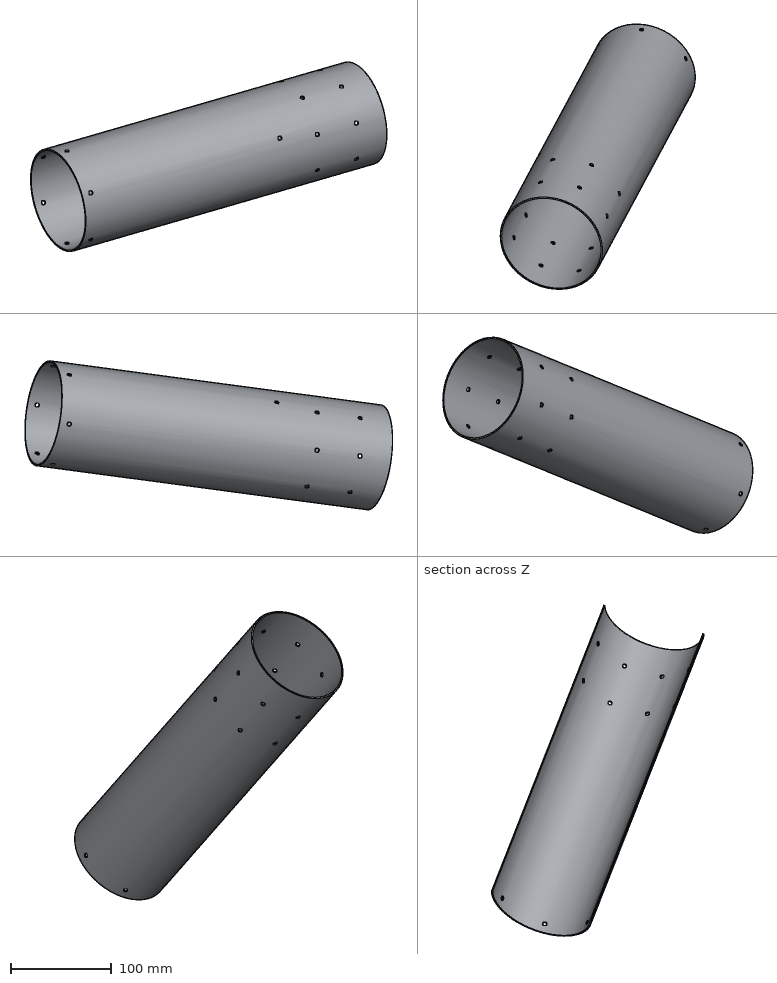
import cadquery as cq

length = 350.0
outer_diameter = 105.0
wall = 1.5
hole_diameter = 4.2

rear_ring_offsets = (33.0, 78.5)
rear_ring_count = 8
front_ring_offset = 10.0
front_ring_count = 6

single_hole_offset = 120.0
single_hole_angle = 30.0

outer_radius = outer_diameter / 2
rear_end = length / 2
front_end = -length / 2


def radial_hole(y, angle):
    """Cutter through one wall; angle is measured from +X towards +Z."""
    drill = cq.Workplane("XY").circle(hole_diameter / 2).extrude(outer_radius + wall)
    return drill.rotate((0, 0, 0), (0, 1, 0), 90 - angle).translate((0, y, 0))


def drill_ring(body, y, count, start_angle):
    """Drill equally spaced radial holes around the tube."""
    for index in range(count):
        body = body.cut(radial_hole(y, start_angle + index * 360 / count))
    return body


tube = (
    cq.Workplane("XZ")
    .circle(outer_radius)
    .circle(outer_radius - wall)
    .extrude(length / 2, both=True)
)

for offset in rear_ring_offsets:
    tube = drill_ring(tube, rear_end - offset, rear_ring_count, 180 / rear_ring_count)

tube = drill_ring(tube, front_end + front_ring_offset, front_ring_count, 90)

single_hole = radial_hole(rear_end - single_hole_offset, single_hole_angle)
result = tube.cut(single_hole)